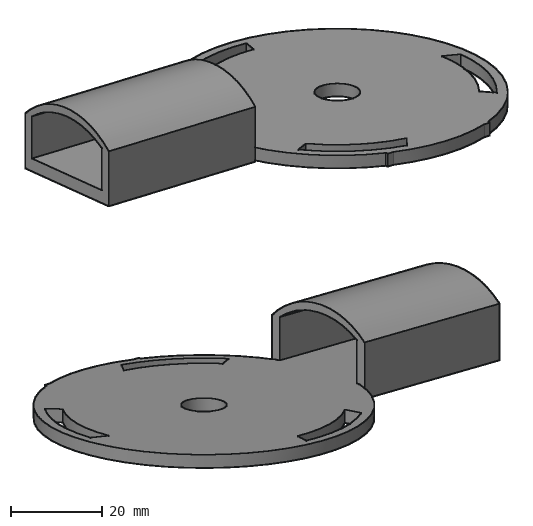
import cadquery as cq
import math

disc_diameter = 74.8
disc_radius = disc_diameter / 2
plate_thickness = 3.1
centre_hole_diameter = 10.0

total_length = 114.0
total_height = 18.7
sleeve_width = 29.0
sleeve_wall = 2.4
sleeve_offset = 35.1
sleeve_length = total_length - disc_radius - sleeve_offset
spring_height = 13.0
crown_thickness = 1.9

slot_outer_radius = 35.0
slot_inner_radius = 31.1
slot_outer_sweep = 40.1
slot_inner_lead = 1.4
slot_inner_lag = 3.3
slot_start_angles = (50.1, 175.4, 306.5)


def polar(radius, angle):
    radians = math.radians(angle)
    return (radius * math.cos(radians), radius * math.sin(radians))


def arched_prism(width, base, spring, crown):
    """Flat-bottomed, arch-topped profile running the length of the sleeve."""
    half = width / 2
    return (
        cq.Workplane("XZ", origin=(0, -sleeve_offset, 0))
        .moveTo(-half, base)
        .lineTo(half, base)
        .lineTo(half, spring)
        .threePointArc((0, crown), (-half, spring))
        .close()
        .extrude(sleeve_length)
    )


def curved_slot(start):
    """Through slot between two arcs, with slanted ends."""
    end = start + slot_outer_sweep
    middle = (start + end) / 2
    return (
        cq.Workplane("XY")
        .moveTo(*polar(slot_outer_radius, start))
        .threePointArc(polar(slot_outer_radius, middle), polar(slot_outer_radius, end))
        .lineTo(*polar(slot_inner_radius, end + slot_inner_lag))
        .threePointArc(
            polar(slot_inner_radius, middle),
            polar(slot_inner_radius, start + slot_inner_lead),
        )
        .close()
        .extrude(plate_thickness)
    )


disc = cq.Workplane("XY").circle(disc_radius).extrude(plate_thickness)
side_pad = cq.Workplane("XY").box(
    sleeve_offset, sleeve_width, plate_thickness, centered=(False, True, False)
)
plate = disc.union(side_pad)

sleeve_outer = arched_prism(sleeve_width, 0, spring_height, total_height)
sleeve_bore = arched_prism(
    sleeve_width - 2 * sleeve_wall, plate_thickness, spring_height, total_height - crown_thickness
)
result = plate.union(sleeve_outer.cut(sleeve_bore))

centre_hole = cq.Workplane("XY").circle(centre_hole_diameter / 2).extrude(plate_thickness)
result = result.cut(centre_hole)
for start_angle in slot_start_angles:
    result = result.cut(curved_slot(start_angle))